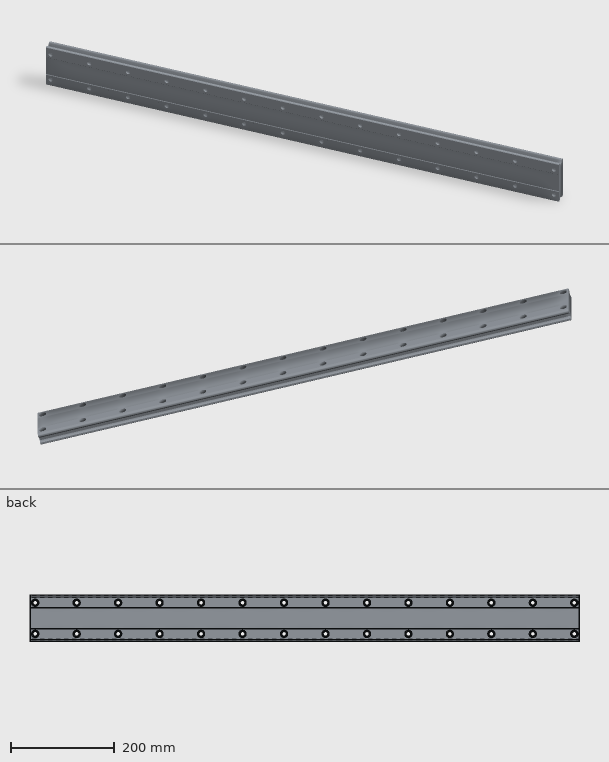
import cadquery as cq
import math

length = 1060.0
thickness = 24.0
height = 90.0

half_height = height / 2
front_y = -thickness / 2
back_y = thickness / 2

channel_floor_half_height = 20.0
channel_depth = 1.0
channel_rim_z = channel_floor_half_height + channel_depth

lip_chamfer = 1.0
lip_top_back_y = -7.4
lip_inner_angle = math.radians(60)

crest_center_y = 7.2
crest_width = 3.65
crest_radius = 2.2
flank_angle = math.radians(55)

groove_floor_z = 39.8
flank_foot_y = 3.0

hole_diameter = 9.0
counterbore_diameter = 14.0
counterbore_depth = 14.0
hole_pitch = 80.0
holes_per_row = 14
hole_row_z = 30.0


def upper_profile():
    """Upper half of the cross-section as (Y, Z) points, from the front channel to the back channel."""
    crest_front_y = crest_center_y - crest_width / 2
    crest_back_y = crest_center_y + crest_width / 2
    flank_slope = math.tan(flank_angle)
    flank_foot_z = half_height - flank_slope * (crest_front_y - flank_foot_y)
    shoulder_z = half_height - flank_slope * (back_y - crest_back_y)
    floor_back_y = flank_foot_y - (flank_foot_z - groove_floor_z)
    floor_front_y = lip_top_back_y + (half_height - groove_floor_z) / math.tan(lip_inner_angle)
    return [
        (front_y + channel_depth, channel_floor_half_height),
        (front_y, channel_rim_z),
        (front_y, half_height - lip_chamfer),
        (front_y + lip_chamfer, half_height),
        (lip_top_back_y, half_height),
        (floor_front_y, groove_floor_z),
        (floor_back_y, groove_floor_z),
        (flank_foot_y, flank_foot_z),
        (crest_front_y, half_height),
        (crest_back_y, half_height),
        (back_y, shoulder_z),
        (back_y, channel_rim_z),
        (back_y - channel_depth, channel_floor_half_height),
    ]


def rail_body():
    upper = upper_profile()
    lower = [(y, -z) for y, z in reversed(upper)]
    body = cq.Workplane("YZ").polyline(upper + lower).close().extrude(length / 2, both=True)
    return round_tongue_crests(body)


def round_tongue_crests(body):
    """Round both long edges of the flat crest on the top and bottom tongues."""
    margin = 0.1
    for side in (1, -1):
        crest_zone = cq.selectors.BoxSelector(
            (-margin, crest_center_y - crest_width / 2 - margin, side * half_height - margin),
            (margin, crest_center_y + crest_width / 2 + margin, side * half_height + margin),
        )
        body = body.edges(crest_zone).fillet(crest_radius)
    return body


def hole_centers():
    first_x = -hole_pitch * (holes_per_row - 1) / 2
    return [
        (first_x + i * hole_pitch, z)
        for i in range(holes_per_row)
        for z in (hole_row_z, -hole_row_z)
    ]


def hole_cutters(diameter, start_y):
    """Cylinders along +Y at every hole position, from start_y out through the back face."""
    plane = cq.Workplane("XZ", origin=(0, start_y, 0))
    return plane.pushPoints(hole_centers()).circle(diameter / 2).extrude(start_y - back_y)


through_holes = hole_cutters(hole_diameter, front_y)
counterbores = hole_cutters(counterbore_diameter, back_y - counterbore_depth)

result = rail_body().cut(through_holes).cut(counterbores)